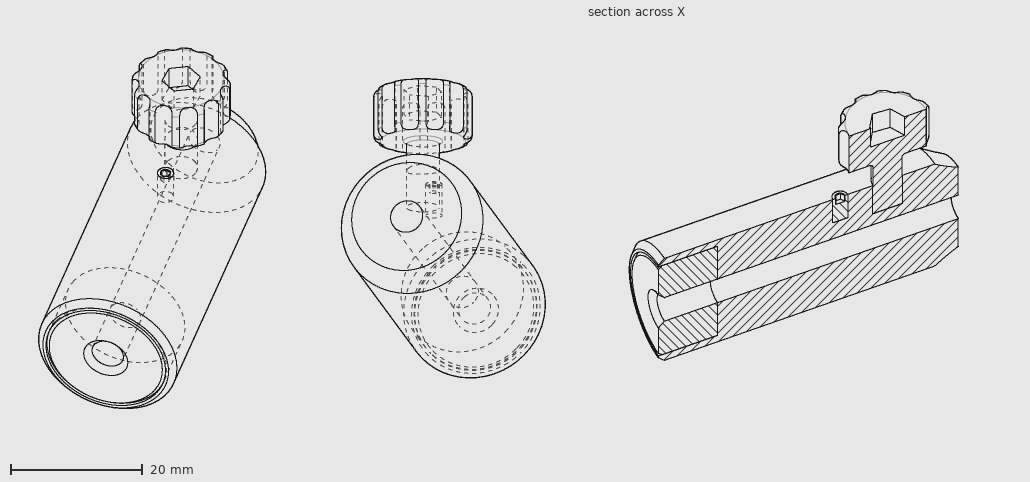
import cadquery as cq
import math

length = 50.8
outer_diameter = 22.0
front_chamfer = 1.0
neck_length = 4.0
rear_diameter = 17.05
neck_hollow = 0.1

bore_diameter = 5.0
bore_countersink = 1.0

plug_diameter = 19.0
plug_length = 10.0
plug_chamfer = 0.5

overall_height = 34.4
knob_to_rear = 12.0
knob_diameter = 15.0
knob_height = 8.0
knob_rounding = 1.0
flute_count = 12
flute_radius = 1.5
flute_depth = 1.0
knob_turn = -4.0
knob_socket_width = 5.1
knob_socket_depth = 3.95
stud_diameter = 5.0
stud_fillet = 0.5
stud_tip_z = 5.0

knob_to_screw = 8.05
screw_diameter = 2.5
screw_length = 5.0
screw_socket_width = 1.3
screw_socket_depth = 1.25
screw_socket_mouth = 1.6

outer_radius = outer_diameter / 2
front_y = -length / 2
rear_y = length / 2
knob_y = rear_y - knob_to_rear
screw_y = knob_y - knob_to_screw
knob_top_z = overall_height - outer_radius
knob_bottom_z = knob_top_z - knob_height
screw_top_z = outer_radius


def rod_along_y(diameter, start_y, rod_length):
    """Cylinder on the housing axis, running from start_y toward +Y."""
    plane = cq.Plane(origin=(0, start_y, 0), xDir=(1, 0, 0), normal=(0, 1, 0))
    return cq.Workplane(plane).circle(diameter / 2).extrude(rod_length)


def post_along_z(diameter, y, bottom_z, top_z):
    """Vertical cylinder on the middle plane of the housing."""
    base = cq.Workplane("XY", origin=(0, y, bottom_z))
    return base.circle(diameter / 2).extrude(top_z - bottom_z)


def hex_socket(width, depth, y, top_z):
    """Hexagonal cutter with two flats facing +X and -X."""
    corner_diameter = width / math.cos(math.pi / 6)
    hexagon = cq.Workplane("XY", origin=(0, y, top_z - depth)).polygon(6, corner_diameter)
    return hexagon.extrude(depth).rotate((0, y, 0), (0, y, 1), 30)


def make_bar():
    """Solid bar with a chamfered front edge and a hollow-curved neck at the rear."""
    rear_radius = rear_diameter / 2
    neck_start_y = rear_y - neck_length
    neck_slant = math.hypot(neck_length, outer_radius - rear_radius)
    neck_middle = (
        (outer_radius + rear_radius) / 2 - neck_hollow * neck_length / neck_slant,
        (neck_start_y + rear_y) / 2 - neck_hollow * (outer_radius - rear_radius) / neck_slant,
    )
    return (
        cq.Workplane("XY")
        .moveTo(0, front_y)
        .lineTo(outer_radius - front_chamfer, front_y)
        .lineTo(outer_radius, front_y + front_chamfer)
        .lineTo(outer_radius, neck_start_y)
        .threePointArc(neck_middle, (rear_radius, rear_y))
        .lineTo(0, rear_y)
        .close()
        .revolve(360, (0, 0, 0), (0, 1, 0))
    )


def make_housing():
    """Bar with the plug pocket, the through bore and the stud and screw holes."""
    plug_pocket = rod_along_y(plug_diameter, front_y, plug_length)
    bore = rod_along_y(bore_diameter, front_y, length)
    stud_hole = post_along_z(stud_diameter, knob_y, stud_tip_z, knob_bottom_z)
    screw_hole = post_along_z(screw_diameter, screw_y, screw_top_z - screw_length, outer_radius)
    return make_bar().cut(plug_pocket).cut(bore).cut(stud_hole).cut(screw_hole)


def make_plug():
    """Disc with a chamfered front rim and a countersunk bore."""
    disc = rod_along_y(plug_diameter, front_y, plug_length).faces("<Y").chamfer(plug_chamfer)
    bored = disc.cut(rod_along_y(bore_diameter, front_y, plug_length))
    mouth = cq.Solid.makeCone(
        bore_diameter / 2 + bore_countersink,
        bore_diameter / 2,
        bore_countersink,
        pnt=cq.Vector(0, front_y, 0),
        dir=cq.Vector(0, 1, 0),
    )
    return bored.cut(cq.Workplane(mouth))


def make_knob():
    """Fluted knob with a hexagonal socket and a stud filleted into its underside."""
    head = post_along_z(knob_diameter, knob_y, knob_bottom_z, knob_top_z)
    head = head.edges("%CIRCLE").fillet(knob_rounding)
    flutes = (
        cq.Workplane("XY", origin=(0, knob_y, knob_bottom_z))
        .polarArray(knob_diameter / 2 - flute_depth + flute_radius, 0, 360, flute_count)
        .circle(flute_radius)
        .extrude(knob_height)
    )
    socket = hex_socket(knob_socket_width, knob_socket_depth, knob_y, knob_top_z)
    head = head.cut(flutes).cut(socket)
    stud_radius = stud_diameter / 2
    fillet_start_z = knob_bottom_z - stud_fillet
    fillet_inset = stud_fillet * (1 - math.sqrt(0.5))
    stud = (
        cq.Workplane("XZ")
        .moveTo(0, stud_tip_z)
        .lineTo(stud_radius, stud_tip_z)
        .lineTo(stud_radius, fillet_start_z)
        .threePointArc(
            (stud_radius + fillet_inset, knob_bottom_z - fillet_inset),
            (stud_radius + stud_fillet, knob_bottom_z),
        )
        .lineTo(0, knob_bottom_z)
        .close()
        .revolve(360, (0, 0, 0), (0, 1, 0))
        .translate((0, knob_y, 0))
    )
    return head.union(stud).rotate((0, knob_y, 0), (0, knob_y, 1), knob_turn)


def make_set_screw():
    """Headless screw with a hexagonal socket and a conical lead-in in its top."""
    body = post_along_z(screw_diameter, screw_y, screw_top_z - screw_length, screw_top_z)
    mouth_radius = screw_socket_mouth / 2
    lead_in = cq.Solid.makeCone(
        mouth_radius,
        0,
        mouth_radius,
        pnt=cq.Vector(0, screw_y, screw_top_z),
        dir=cq.Vector(0, 0, -1),
    )
    socket = hex_socket(screw_socket_width, screw_socket_depth, screw_y, screw_top_z)
    return body.cut(cq.Workplane(lead_in)).cut(socket)


housing = make_housing()
plug = make_plug()
knob = make_knob()
set_screw = make_set_screw()

result = cq.Compound.makeCompound([housing.val(), plug.val(), knob.val(), set_screw.val()])